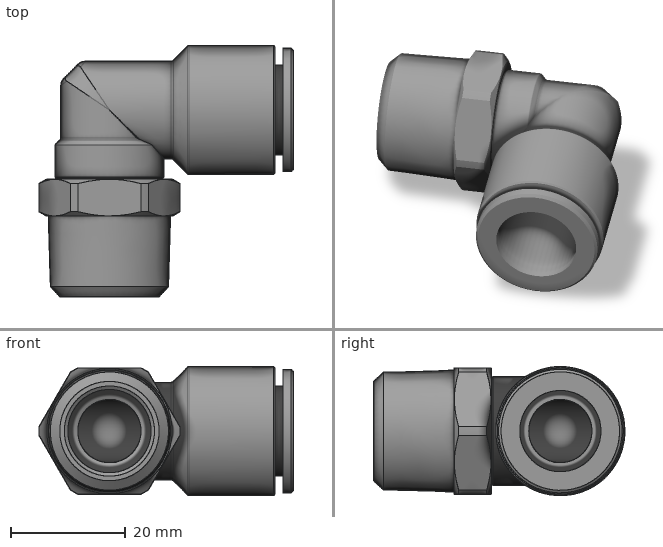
import cadquery as cq
import math

neck_radius = 17.0 / 2
neck_overlap = 0.45
foot_blend = 0.55
corner_crown = 10.05
corner_flat = 9.5
corner_blend = 1.77
crease_blend = 0.2

cone_start = 10.95
body_radius = 22.5 / 2
body_end = 28.83
body_chamfer = 0.25
cone_blend = 0.35
collar_radius = 15.7 / 2
flange_start = 30.2
flange_radius = 21.5 / 2
flange_end = 32.05
flange_chamfer = 0.45
cone_end = cone_start + body_radius - neck_radius

sleeve_radius = 19.0 / 2
sleeve_start = 5.05
sleeve_end = 11.97
sleeve_chamfer = 0.25
shoulder_blend = 0.2
hex_start = 12.0
hex_end = 18.5
hex_flats = 22.0
hex_corner_diameter = 24.55
hex_face_radius = 10.9
chamfer_angle = 30
thread_top_radius = 10.65
thread_tip_radius = 10.3
thread_end = 32.5
tip_chamfer_length = 1.77
tip_face_radius = 8.65

passage_diameter = 11.0
tube_diameter = 14.15
tube_stop = cone_end
counterbore_radius = 14.5 / 2
mouth_radius = 15.7 / 2
counterbore_step = counterbore_radius - passage_diameter / 2
counterbore_cone_angle = 30
counterbore_floor = hex_start + counterbore_step * math.tan(math.radians(counterbore_cone_angle))
mouth_depth = mouth_radius - counterbore_radius


def rod_x(radius, start, end):
    return cq.Workplane("YZ").workplane(offset=start).circle(radius).extrude(end - start)


def rod_y(radius, start, end):
    """Cylinder on the Y axis; start and end are distances toward -Y."""
    return cq.Workplane("XZ").workplane(offset=start).circle(radius).extrude(end - start)


def turned_y(points):
    """Turn (radius, distance toward -Y) points about the Y axis."""
    outline = [(radius, -distance) for radius, distance in points]
    return cq.Workplane("XY").polyline(outline).close().revolve(360, (0, 0), (0, 1))


def outer_corner():
    """Mitre of the two necks, rounded over and cut by a blended 45 degree flat."""
    reach = 2 * neck_radius
    mitre = rod_x(neck_radius, -reach, reach).intersect(rod_y(neck_radius, -reach, reach))
    across = cq.Plane(origin=(-reach, -reach, 0), xDir=(-1, 1, 0), normal=(1, 1, 0))
    crown = cq.Workplane(across).ellipse(corner_crown, neck_radius).extrude(4 * reach)
    outward = cq.Plane(origin=(0, 0, 0), xDir=(0, 0, 1), normal=(-1, 1, 0))
    beyond_flat = (
        cq.Workplane(outward).workplane(offset=corner_flat).rect(4 * reach, 4 * reach).extrude(reach)
    )
    blank = mitre.intersect(crown).cut(beyond_flat)
    flat = cq.selectors.DirectionMinMaxSelector(cq.Vector(-1, 1, 0))
    return blank.faces(flat).edges().fillet(corner_blend)


def elbow():
    inner = rod_x(neck_radius, 0, cone_start).union(rod_y(neck_radius, 0, sleeve_end))
    crease = cq.selectors.BoxSelector((0.45, -0.45, -neck_radius), (neck_radius, -neck_radius, neck_radius))
    inner = inner.edges(crease).fillet(crease_blend)
    return inner.union(outer_corner())


def tube_socket():
    outline = [
        (cone_start - neck_overlap, 0),
        (cone_start - neck_overlap, neck_radius),
        (cone_start, neck_radius),
        (cone_end, body_radius),
        (body_end - body_chamfer, body_radius),
        (body_end, body_radius - body_chamfer),
        (body_end, collar_radius),
        (flange_start, collar_radius),
        (flange_start, flange_radius),
        (flange_end - flange_chamfer, flange_radius),
        (flange_end, flange_radius - flange_chamfer),
        (flange_end, 0),
    ]
    socket = cq.Workplane("XY").polyline(outline).close().revolve(360, (0, 0), (1, 0))
    rim = cq.selectors.NearestToPointSelector((cone_end, 0, 0))
    foot = cq.selectors.NearestToPointSelector((cone_start, 0, 0))
    return socket.edges(rim).fillet(cone_blend).edges(foot).fillet(foot_blend)


def sleeve():
    shoulder = sleeve_radius - neck_radius
    outline = [
        (0, sleeve_start - neck_overlap),
        (neck_radius, sleeve_start - neck_overlap),
        (neck_radius, sleeve_start),
        (sleeve_radius, sleeve_start + shoulder),
        (sleeve_radius, sleeve_end - sleeve_chamfer),
        (sleeve_radius - sleeve_chamfer, sleeve_end),
        (sleeve_radius - sleeve_chamfer, hex_start),
        (0, hex_start),
    ]
    turned = turned_y(outline)
    rim = cq.selectors.NearestToPointSelector((0, -sleeve_start - shoulder, 0))
    foot = cq.selectors.NearestToPointSelector((0, -sleeve_start, 0))
    return turned.edges(rim).fillet(shoulder_blend).edges(foot).fillet(foot_blend)


def hexagon():
    """Hexagon with corners on X, its corners turned round and both ends chamfered."""
    corner_radius = hex_corner_diameter / 2
    drop = (corner_radius - hex_face_radius) * math.tan(math.radians(chamfer_angle))
    prism = (
        cq.Workplane("XZ")
        .workplane(offset=hex_start)
        .polygon(6, hex_flats / math.cos(math.pi / 6))
        .extrude(hex_end - hex_start)
    )
    envelope = turned_y([
        (0, hex_start),
        (hex_face_radius, hex_start),
        (corner_radius, hex_start + drop),
        (corner_radius, hex_end - drop),
        (hex_face_radius, hex_end),
        (0, hex_end),
    ])
    return prism.intersect(envelope)


def thread():
    return turned_y([
        (0, hex_end),
        (thread_top_radius, hex_end),
        (thread_tip_radius, thread_end - tip_chamfer_length),
        (tip_face_radius, thread_end),
        (0, thread_end),
    ])


def passages():
    """Bores that meet at the origin, widened for the tube and inside the thread."""
    bore_radius = passage_diameter / 2
    along_x = rod_x(bore_radius, 0, flange_end).union(rod_x(tube_diameter / 2, tube_stop, flange_end))
    turn = rod_x(bore_radius, -bore_radius, bore_radius).intersect(
        rod_y(bore_radius, -bore_radius, bore_radius)
    )
    along_y = turned_y([
        (0, 0),
        (bore_radius, 0),
        (bore_radius, hex_start),
        (counterbore_radius, counterbore_floor),
        (counterbore_radius, thread_end - mouth_depth),
        (mouth_radius, thread_end),
        (0, thread_end),
    ])
    return along_x.union(along_y).union(turn)


outside = elbow().union(tube_socket()).union(sleeve()).union(hexagon()).union(thread())
result = outside.cut(passages())